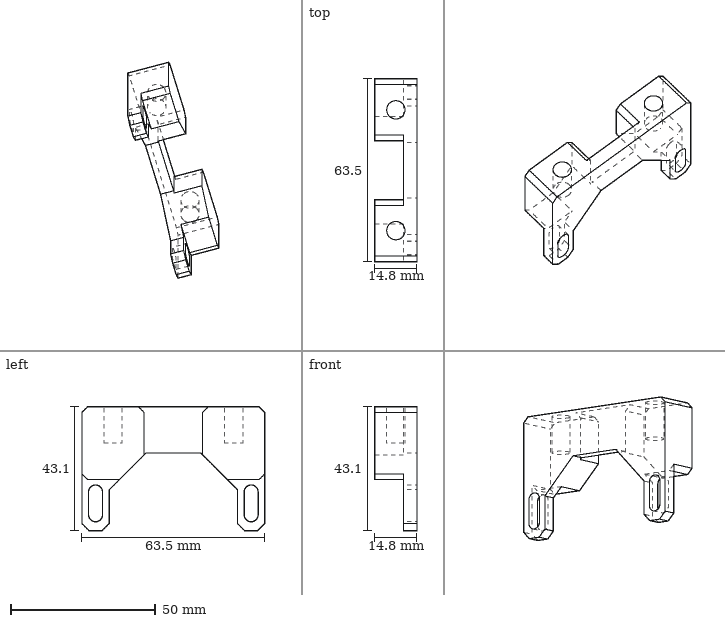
import cadquery as cq

width = 63.5
height = 43.08
plate_thickness = 4.76
block_depth = 10.0
block_height = 25.3
block_gap = 20.32
corner_chamfer = 2.0

bridge_height = 16.15
arch_top_width = 19.1
leg_width = 9.525
leg_chamfer = 2.54

slot_width = leg_width / 2
slot_length = 12.7
slot_end_margin = 3.175

hole_diameter = 6.35
hole_depth = 12.7

half_width = width / 2
total_depth = plate_thickness + block_depth
block_width = (width - block_gap) / 2
block_center_y = (half_width + block_gap / 2) / 2
arch_half_width = half_width - leg_width
arch_flank = arch_half_width - arch_top_width / 2
leg_center_y = half_width - leg_width / 2
slot_center_z = -height + slot_end_margin + slot_length / 2


def make_plate():
    """Full-size back plate with its two upper corners chamfered."""
    plate = cq.Workplane("XY").box(plate_thickness, width, height, centered=(False, True, False))
    plate = plate.translate((-plate_thickness, 0, -height))
    return plate.edges("|X and >Z").chamfer(corner_chamfer)


def make_block(side):
    """Chamfered block on one side of the part, from the front to the back face."""
    block = cq.Workplane("XY").box(total_depth, block_width, block_height)
    block = block.edges("|X").chamfer(corner_chamfer)
    return block.translate((-total_depth / 2, side * block_center_y, -block_height / 2))


def make_arch():
    """Cutter for the opening below the bridge, running through the whole depth."""
    flank_bottom = -bridge_height - arch_flank
    return (
        cq.Workplane("YZ")
        .moveTo(-arch_half_width, -height)
        .lineTo(-arch_half_width, flank_bottom)
        .lineTo(-arch_top_width / 2, -bridge_height)
        .lineTo(arch_top_width / 2, -bridge_height)
        .lineTo(arch_half_width, flank_bottom)
        .lineTo(arch_half_width, -height)
        .close()
        .extrude(-total_depth)
    )


def make_slot(side):
    """Cutter for the round-ended slot in one leg."""
    return (
        cq.Workplane("YZ")
        .center(side * leg_center_y, slot_center_z)
        .slot2D(slot_length, slot_width, 90)
        .extrude(-plate_thickness)
    )


def make_hole(side):
    """Cutter for the blind hole in the top of one block."""
    return (
        cq.Workplane("XY")
        .center(-total_depth / 2, side * block_center_y)
        .circle(hole_diameter / 2)
        .extrude(-hole_depth)
    )


sides = (-1, 1)

body = make_plate()
for side in sides:
    body = body.union(make_block(side))

body = body.cut(make_arch())
body = body.edges("|X and <Z").chamfer(leg_chamfer)

for side in sides:
    body = body.cut(make_slot(side)).cut(make_hole(side))

result = body